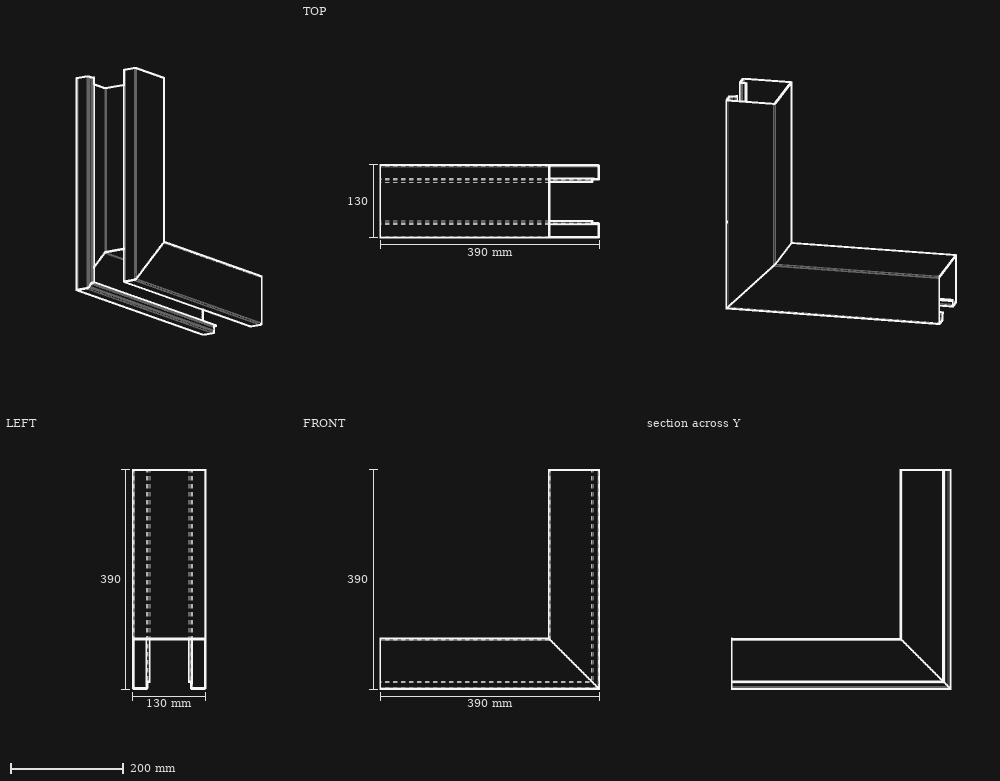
import cadquery as cq
import math


arm_length = 390.0
channel_width = 130.0
channel_depth = 90.0

sheet = 2.0
inner_radius = 1.0
outer_radius = inner_radius + sheet
edge_radius = 0.9

flange_width = 26.75
lip_reach = 30.5
lip_rise = 12.0
kink_rise = 5.0
lip_lean = 0.7
largest_kink = math.radians(30)

half_width = channel_width / 2
half_length = arm_length / 2


def outer_path():
    """Corners (y, z) of the outer skin from one free edge to the other, flange face at z = 0."""
    opening = half_width - flange_width
    half_path = [
        (half_width - lip_reach, lip_rise),
        (opening + lip_lean, lip_rise),
        (opening, kink_rise),
        (opening, 0),
        (half_width, 0),
        (half_width, channel_depth),
    ]
    other_half = [(-y, z) for y, z in reversed(half_path)]
    return half_path + other_half


def direction(start, end):
    """Unit vector from one corner to the next."""
    run_y = end[0] - start[0]
    run_z = end[1] - start[1]
    length = math.hypot(run_y, run_z)
    return run_y / length, run_z / length


def turn_angle(before, after):
    """Signed angle between two unit vectors, positive for a left turn."""
    cross = before[0] * after[1] - before[1] * after[0]
    dot = before[0] * after[0] + before[1] * after[1]
    return math.atan2(cross, dot)


def bend_radii(turn):
    """Radii of the outer and inner skins at a bend; the inner skin lies on the left."""
    if abs(turn) < largest_kink:
        return 0, 0
    if turn > 0:
        return outer_radius, inner_radius
    return inner_radius, outer_radius


def section_corners():
    """Corners (y, z, radius) around the section: along the outer skin, then back on the inner one."""
    path = outer_path()
    runs = [direction(start, end) for start, end in zip(path, path[1:])]
    runs_before = [runs[0]] + runs
    runs_after = runs + [runs[-1]]
    outer_skin = []
    inner_skin = []
    for (y, z), before, after in zip(path, runs_before, runs_after):
        turn = turn_angle(before, after)
        is_free_edge = (y, z) in (path[0], path[-1])
        radii = (edge_radius, edge_radius) if is_free_edge else bend_radii(turn)
        offset = sheet / (1 + math.cos(turn))
        inner_y = y - offset * (before[1] + after[1])
        inner_z = z + offset * (before[0] + after[0])
        outer_skin.append((y, z, radii[0]))
        inner_skin.append((inner_y, inner_z, radii[1]))
    return outer_skin + inner_skin[::-1]


def channel_section(plane):
    """Closed outline of the folded sheet, starting mid-web, each rounded corner a tangent arc."""
    corners = section_corners()
    web_start = len(corners) // 4
    corners = corners[web_start:] + corners[:web_start]
    followers = corners[1:] + corners[:1]
    outline = plane.moveTo(0, channel_depth)
    for index, (y, z, radius) in enumerate(corners):
        if radius == 0:
            outline = outline.lineTo(y, z)
            continue
        before = direction(corners[index - 1], (y, z))
        after = direction((y, z), followers[index])
        setback = radius * math.tan(abs(turn_angle(before, after)) / 2)
        bend_end = (y + setback * after[0], z + setback * after[1])
        outline = outline.lineTo(y - setback * before[0], z - setback * before[1])
        outline = outline.tangentArcPoint(bend_end, relative=False)
    return outline.close()


def make_horizontal_arm():
    """Channel along X, open downward, with its +X end cut at 45 degrees for the mitre."""
    base = cq.Workplane("YZ", origin=(-half_length, 0, -half_length))
    channel = channel_section(base).extrude(arm_length)
    mitre_waste = (
        cq.Workplane("XZ")
        .moveTo(half_length, -half_length)
        .lineTo(half_length, half_length)
        .lineTo(-half_length, half_length)
        .close()
        .extrude(half_width, both=True)
    )
    return channel.cut(mitre_waste)


def make_vertical_arm(horizontal):
    """The same channel turned up: a mirror image of the horizontal arm in the mitre plane."""
    mitre_normal = cq.Vector(1, 0, 1)
    return horizontal.mirror(mitre_normal, (0, 0, 0))


horizontal_arm = make_horizontal_arm()
vertical_arm = make_vertical_arm(horizontal_arm)

result = cq.Compound.makeCompound([horizontal_arm.val(), vertical_arm.val()])